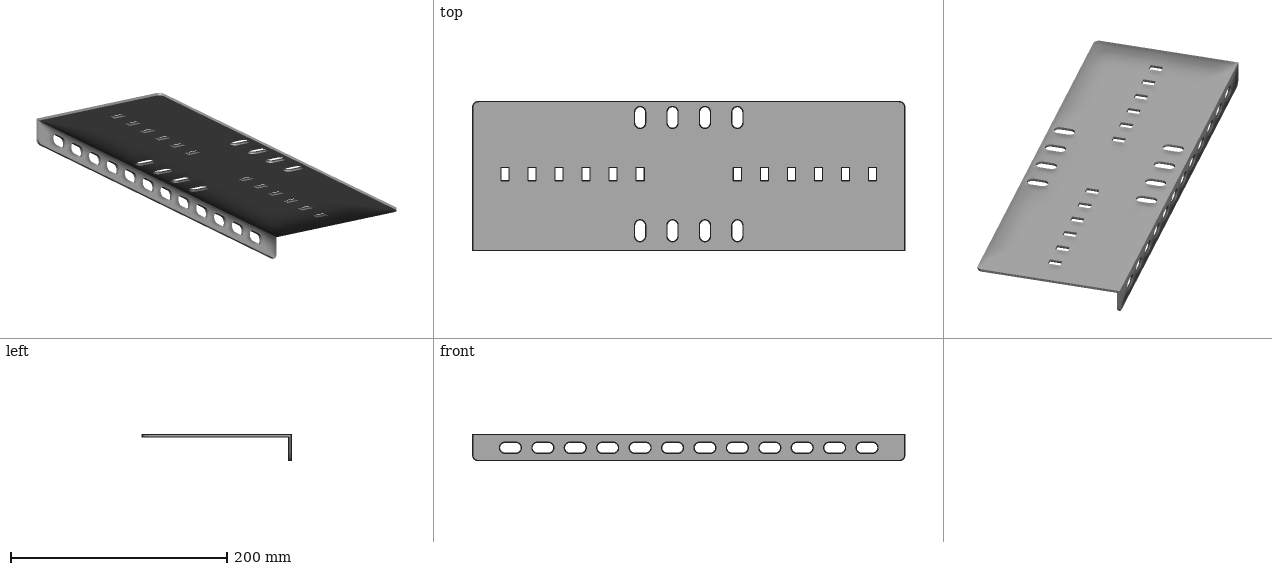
import cadquery as cq

length = 400.0
depth = 138.0
height = 24.5
thickness = 2.5
corner_radius = 5.0

slot_length = 20.0
slot_width = 10.0
slot_pitch = 30.0
plate_slot_count = 4
flange_slot_count = 12
flange_slot_to_bottom = 12.0

rear_row_to_edge = 15.0
row_spacing = 105.0

rect_width = 7.0
rect_depth = 12.0
rects_per_side = 6
outer_rect_to_end = 30.0

rear_y = depth / 2
front_y = -depth / 2
top_z = height / 2
bottom_z = -height / 2

rear_row_y = rear_y - rear_row_to_edge
front_row_y = rear_row_y - row_spacing
rect_row_y = (rear_row_y + front_row_y) / 2


def evenly_spaced(first, last, count):
    step = (last - first) / (count - 1)
    return [first + step * i for i in range(count)]


def slot_positions(count):
    half_span = slot_pitch * (count - 1) / 2
    return evenly_spaced(-half_span, half_span, count)


def make_plate():
    """Horizontal plate with its two rear corners rounded."""
    plate = cq.Workplane("XY").box(length, depth, thickness)
    plate = plate.edges("|Z and >Y").fillet(corner_radius)
    return plate.translate((0, 0, top_z - thickness / 2))


def make_flange():
    """Downturned front flange with its two bottom corners rounded."""
    flange = cq.Workplane("XY").box(length, thickness, height)
    flange = flange.edges("|Y and <Z").fillet(corner_radius)
    return flange.translate((0, front_y + thickness / 2, 0))


def plate_slots():
    points = [(x, y) for y in (front_row_y, rear_row_y) for x in slot_positions(plate_slot_count)]
    return (
        cq.Workplane("XY")
        .workplane(offset=top_z - thickness)
        .pushPoints(points)
        .slot2D(slot_length, slot_width, 90)
        .extrude(thickness)
    )


def plate_rects():
    inner_x = slot_positions(plate_slot_count)[-1]
    outer_x = length / 2 - outer_rect_to_end
    distances = evenly_spaced(inner_x, outer_x, rects_per_side)
    points = [(side * x, rect_row_y) for side in (-1, 1) for x in distances]
    return (
        cq.Workplane("XY")
        .workplane(offset=top_z - thickness)
        .pushPoints(points)
        .rect(rect_width, rect_depth)
        .extrude(thickness)
    )


def flange_slots():
    slot_z = bottom_z + flange_slot_to_bottom
    points = [(x, slot_z) for x in slot_positions(flange_slot_count)]
    return (
        cq.Workplane("XZ", origin=(0, front_y + thickness, 0))
        .pushPoints(points)
        .slot2D(slot_length, slot_width)
        .extrude(thickness)
    )


body = make_plate().union(make_flange())
result = body.cut(plate_slots()).cut(plate_rects()).cut(flange_slots())